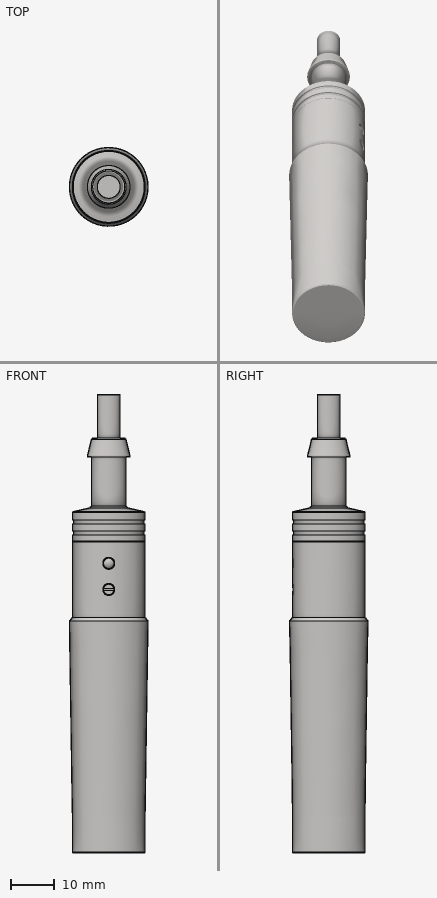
import cadquery as cq

total_height = 104.9
body_dia = 16.7
edge_break = 0.2

tail_height = 8.2
grip_top = 53.1
grip_bevel_top = 53.9
barrel_top = 78.2
shoulder_top = 79.0
collar_top = 79.4

grip_dia = 18.0
collar_dia = 8.8

ring_groove_width = 0.9
ring_groove_dia = 16.2
seam_width = 0.2
seam_dia = 16.6
grooves = [
    (75.3, ring_groove_width, ring_groove_dia),
    (72.8, ring_groove_width, ring_groove_dia),
    (71.2, seam_width, seam_dia),
]

lamp_z = 66.3
screw_z = 60.3
window_dia = 2.7
button_dia = 2.4
window_depth = 0.6
lamp_dome_height = 0.6
screw_height = 0.4
screw_slot_width = 0.4
screw_slot_depth = 0.3

cable_dia = 5.2
neck_dia = 8.0
barb_dia = 9.8
barb_bottom = 90.6
barb_rim_height = 0.3
barb_top = 94.9
barb_top_dia = 8.0
barb_edge_break = 0.3
socket_bottom = barrel_top


def revolve_profile(points):
    """Turn (radius, height) points around the Z axis."""
    return cq.Workplane("XZ").polyline(points).close().revolve(360, (0, 0, 0), (0, 1, 0))


def y_cylinder(diameter, z, y_start, length):
    """Cylinder that starts at y_start and runs toward -Y."""
    return cq.Workplane("XZ", origin=(0, y_start, z)).circle(diameter / 2).extrude(length)


def make_housing_blank():
    body_r = body_dia / 2
    return revolve_profile([
        (0, 0),
        (body_r - edge_break, 0),
        (body_r, edge_break),
        (body_r, tail_height),
        (grip_dia / 2, grip_top),
        (body_r, grip_bevel_top),
        (body_r, barrel_top - edge_break),
        (body_r - edge_break, barrel_top),
        (collar_dia / 2, shoulder_top),
        (neck_dia / 2, collar_top),
        (0, collar_top),
    ])


def make_groove(bottom, width, floor_dia):
    return (
        cq.Workplane("XY", origin=(0, 0, bottom))
        .circle(grip_dia / 2)
        .circle(floor_dia / 2)
        .extrude(width)
    )


def make_socket():
    """Seat for the lower end of the strain relief."""
    depth = collar_top - socket_bottom
    return cq.Workplane("XY", origin=(0, 0, socket_bottom)).circle(neck_dia / 2).extrude(depth)


def make_lamp(floor_y):
    """Domed lamp: a spherical cap standing on the recess floor."""
    lamp_r = button_dia / 2
    dome_r = (lamp_r**2 + lamp_dome_height**2) / (2 * lamp_dome_height)
    dome_center_y = floor_y - lamp_dome_height + dome_r
    dome = cq.Workplane("XY").sphere(dome_r).translate((0, dome_center_y, lamp_z))
    return y_cylinder(button_dia, lamp_z, floor_y + lamp_dome_height, 2 * lamp_dome_height).intersect(dome)


def make_screw(floor_y):
    """Screw head with a level driver slot."""
    head = y_cylinder(button_dia, screw_z, floor_y, screw_height)
    slot_center_y = floor_y - screw_height + screw_slot_depth / 2
    slot = cq.Workplane("XY").box(button_dia, screw_slot_depth, screw_slot_width)
    return head.cut(slot.translate((0, slot_center_y, screw_z)))


def make_housing():
    housing = make_housing_blank()
    for bottom, width, floor_dia in grooves:
        housing = housing.cut(make_groove(bottom, width, floor_dia))
    housing = housing.cut(make_socket())

    window_floor_y = -(body_dia / 2 - window_depth)
    for z in (lamp_z, screw_z):
        housing = housing.cut(y_cylinder(window_dia, z, window_floor_y, 2 * window_depth))
    return housing.union(make_lamp(window_floor_y)).union(make_screw(window_floor_y))


def make_cable():
    neck_r = neck_dia / 2
    barb_r = barb_dia / 2
    barb_top_r = barb_top_dia / 2
    cable_r = cable_dia / 2
    return revolve_profile([
        (0, socket_bottom),
        (neck_r, socket_bottom),
        (neck_r, barb_bottom),
        (barb_r, barb_bottom),
        (barb_r, barb_bottom + barb_rim_height),
        (barb_top_r, barb_top - barb_edge_break),
        (barb_top_r - barb_edge_break, barb_top),
        (cable_r, barb_top),
        (cable_r, total_height),
        (0, total_height),
    ])


housing = make_housing()
cable = make_cable()
result = cq.Compound.makeCompound([housing.solids().val(), cable.val()])